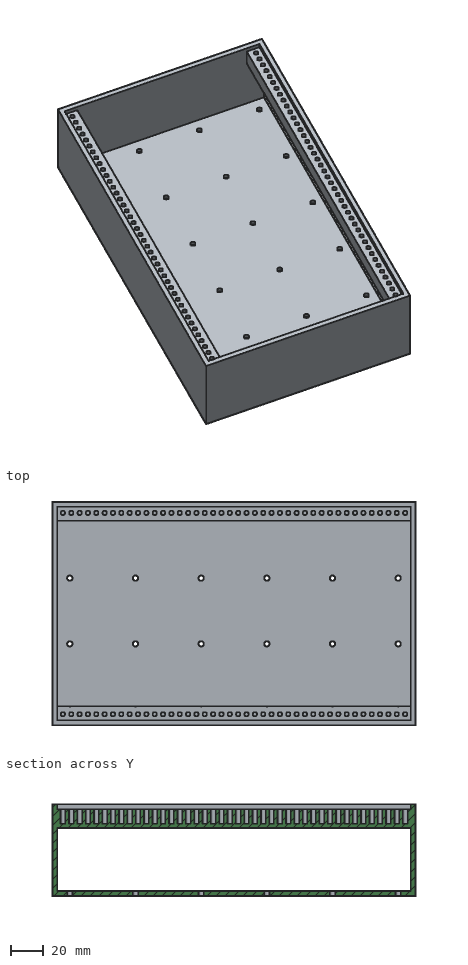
import cadquery as cq

length = 221.0
width = 136.0
height = 56.0

wall = 3.0
floor_thickness = 3.0

rail_width = 8.5
rail_height = 11.5
rail_recess = 3.0
rail_hole_diameter = 2.7
rail_hole_depth = 8.8
rail_count = 2
rail_hole_count = 42
rail_row_length = 208.3
rail_row_spacing = 122.5

floor_hole_diameter = 3.0
floor_hole_columns = 6
floor_hole_row_length = 199.9
floor_hole_rows = 4

rail_hole_pitch = rail_row_length / (rail_hole_count - 1)
floor_hole_pitch = floor_hole_row_length / (floor_hole_columns - 1)
inner_length = length - 2 * wall
inner_width = width - 2 * wall
rail_top = height - rail_recess
rail_bottom = rail_top - rail_height


def block(size_x, size_y, bottom, top, center_y=0):
    """Box centred on X, spanning the given heights."""
    return (
        cq.Workplane("XY", origin=(0, center_y, bottom))
        .box(size_x, size_y, top - bottom, centered=(True, True, False))
    )


def hole_grid(pitch_x, pitch_y, columns, rows, diameter, bottom, top, center_y=0):
    """Cylinders on a rectangular grid, used as cutters."""
    return (
        cq.Workplane("XY", origin=(0, center_y, bottom))
        .rarray(pitch_x, pitch_y, columns, rows)
        .circle(diameter / 2)
        .extrude(top - bottom)
    )


case = block(length, width, 0, height)
case = case.cut(block(inner_length, inner_width, floor_thickness, height))

rail_center_y = (inner_width - rail_width) / 2
for side in (-1, 1):
    case = case.union(block(inner_length, rail_width, rail_bottom, rail_top, side * rail_center_y))

wall_center_y = (width - wall) / 2
case = case.cut(block(inner_length, wall, floor_thickness, rail_bottom, wall_center_y))

case = case.cut(
    hole_grid(
        rail_hole_pitch, rail_row_spacing, rail_hole_count, rail_count,
        rail_hole_diameter, rail_top - rail_hole_depth, rail_top,
    )
)

floor_center_y = wall / 2
case = case.cut(
    hole_grid(
        floor_hole_pitch, floor_hole_pitch, floor_hole_columns, floor_hole_rows,
        floor_hole_diameter, 0, floor_thickness, floor_center_y,
    )
)

result = case